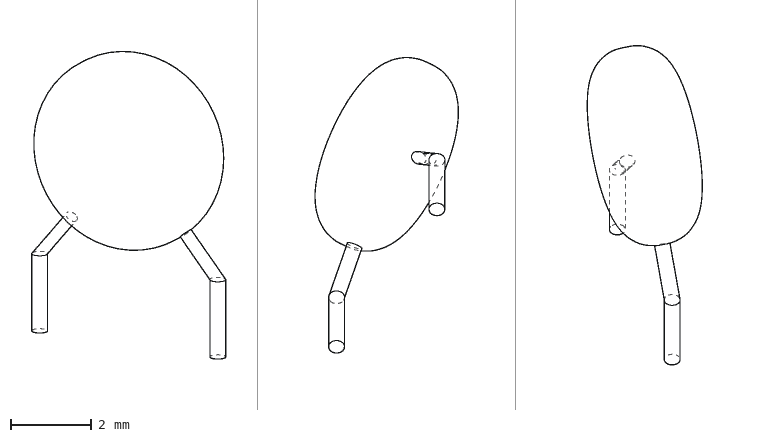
import cadquery as cq

total_height = 7.5
disc_diameter = 5.0
disc_thickness = 2.0
edge_radius = 0.9
lead_diameter = 0.4
pin_length = 2.0

disc_radius = disc_diameter / 2
disc_center_z = total_height - disc_radius
lead_radius = lead_diameter / 2
lead_offset = disc_radius


def make_disc():
    """Round body with both rims rounded, leaving a narrow straight band."""
    return (
        cq.Workplane("XZ", origin=(0, disc_thickness / 2, disc_center_z))
        .circle(disc_radius)
        .extrude(disc_thickness)
        .edges()
        .fillet(edge_radius)
    )


def make_pin(side):
    """Straight vertical pin on one side: -1 for -X, +1 for +X."""
    return (
        cq.Workplane("XY", origin=(side * lead_offset, 0, 0))
        .circle(lead_radius)
        .extrude(pin_length)
    )


def make_arm(side, disc):
    """Slanted arm from the pin top towards the disc center, ending on the disc surface."""
    slanted_rod = (
        cq.Workplane("XY", origin=(side * lead_offset, 0, pin_length))
        .circle(lead_radius)
        .workplane(offset=disc_center_z - pin_length)
        .center(-side * lead_offset, 0)
        .circle(lead_radius)
        .loft(ruled=True)
    )
    return slanted_rod.cut(disc)


disc = make_disc()
pins = []
arms = []
for side in (-1, 1):
    pins.append(make_pin(side))
    arms.append(make_arm(side, disc))

result = cq.Compound.makeCompound(
    [
        disc.val(),
        *[solid for pin in pins for solid in pin.solids().vals()],
        *[solid for arm in arms for solid in arm.solids().vals()],
    ]
)